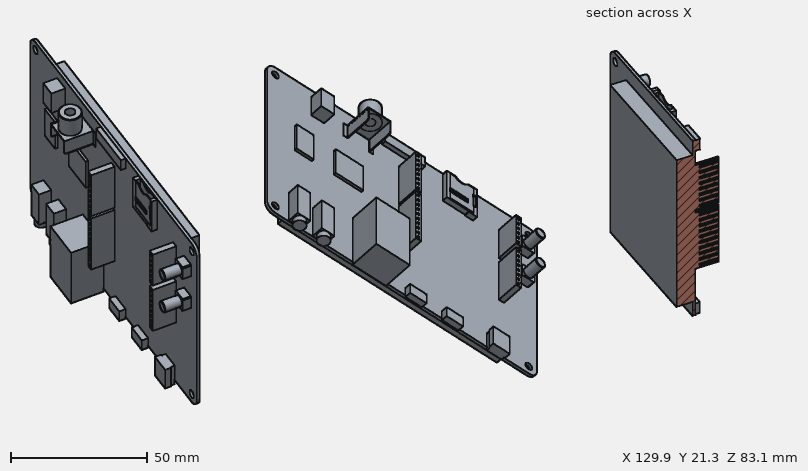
import cadquery as cq


BOARD_WIDTH = 129.95
BOARD_HEIGHT = 79.8
BOARD_THICKNESS = 1.28
CORNER_RADIUS = 4.0
MOUNT_HOLE_DIAMETER = 3.2
MOUNT_HOLE_INSET = 4.0

DISPLAY_WIDTH = 105.5
DISPLAY_HEIGHT = 67.0
DISPLAY_THICKNESS = 6.6
DISPLAY_LEFT = 11.8
DISPLAY_BOTTOM = 6.3

BACK_BLOCK_LEFT = 2.8
BACK_BLOCK_WIDTH = 3.2
BACK_BLOCK_HEIGHT = 4.3
BACK_BLOCK_THICKNESS = 1.2
BACK_BLOCK_BOTTOMS = (27.0, 47.9)

POWER_MODULE = (21.1, 66.1, 6.3, 9.8, 5.8)
MEMORY_CHIP = (13.3, 41.1, 8.2, 13.3, 1.1)
PROCESSOR_CHIP = (32.1, 41.4, 13.3, 13.0, 1.1)
NETWORK_SOCKET = (41.1, -1.6, 16.1, 25.5, 13.46)
FLAT_CABLE_SOCKET = (55.2, 74.7, 19.2, 5.0, 1.95)
MICRO_USB_WIDTH = 7.9
MICRO_USB_HEIGHT = 4.9
MICRO_USB_DEPTH = 2.65
MICRO_USB_BOTTOM = -0.9
MICRO_USB_LEFTS = (66.55, 84.15)

JACK_LEFTS = (10.4, 22.0)
JACK_WIDTH = 6.0
JACK_BOTTOM = 0.35
JACK_HEIGHT = 15.3
JACK_DEPTH = 5.1
JACK_NOSE_DIAMETER = 5.2
JACK_NOSE_LENGTH = 2.65

PIN_PITCH = 2.54
PIN_HOLE_SIZE = 0.8
PIN_HOLE_DEPTH = 8.0
HEADER_WIDTH = 2.45
HEADER_DEPTH = 9.7
HEADER_END_MARGIN = 0.3
LEFT_HEADER_X = 64.6
RIGHT_HEADER_X = 112.75
HEADERS = (
    (LEFT_HEADER_X, 58.1, 8),
    (LEFT_HEADER_X, 33.8, 10),
    (RIGHT_HEADER_X, 60.65, 6),
    (RIGHT_HEADER_X, 40.4, 8),
)

BRACKET_CENTER_X = 43.87
BRACKET_WIDTH = 10.9
BRACKET_DEPTH = 12.0
BRACKET_BOTTOM = 66.1
BRACKET_TOP = 72.8
SHEET_THICKNESS = 0.4
BRACKET_CORNER_RADIUS = 1.0
EAR_SPAN = 14.3
EAR_THICKNESS = 0.1
BARREL_DIAMETER = 8.7
BARREL_BORE = 3.9
BARREL_AXIS_DEPTH = 6.75
BARREL_TOP = 80.78
BARREL_CHAMFER = 0.25

CARD_LEFT = 84.55
CARD_WIDTH = 14.55
CARD_TOP = 79.5
CARD_BOTTOM = 64.9
CARD_DEPTH = 2.3
CARD_STEP_LEFT = 95.2
CARD_STEP_DROP = 0.4
CARD_SLOT_LEFT = 86.3
CARD_SLOT_WIDTH = 11.35
CARD_SLOT_BOTTOM = 66.1
CARD_FLOOR = 0.3
CARD_COVER = 0.3
THUMB_NOTCH_X = 91.85
THUMB_NOTCH_WIDTH = 6.0
THUMB_NOTCH_DEPTH = 1.4
CONTACT_COUNT = 8
CONTACT_PITCH = 1.11
CONTACT_LEFT = 86.22
CONTACT_BOTTOM = 69.6
CONTACT_WIDTH = 0.86
CONTACT_HEIGHT = 1.6
SLIT_LEFT = 97.5
SLIT_RIGHT = 98.65
SLIT_BOTTOM = 69.8
SLIT_TOP = 75.5
SLIT_FOOT_LENGTH = 0.35
SLIT_FOOT_HEIGHT = 0.8

BUTTON_X = 122.75
BUTTON_CENTERS_Z = (49.8, 65.8)
BUTTON_SIZE = 6.0
BUTTON_BASE_DEPTH = 3.45
BUTTON_CORNER_CHAMFER = 0.4
PLUNGER_DIAMETER = 4.5
PLUNGER_DEPTH = 10.55
PLUNGER_CHAMFER = 0.25

MINI_USB_LEFT = 105.3
MINI_USB_BOTTOM = -2.0
MINI_USB_WIDTH = 7.9
MINI_USB_HEIGHT = 9.4
MINI_USB_DEPTH = 4.2
MINI_USB_NECK_INSET = 0.4
MINI_USB_NECK_DEPTH = 1.4
MINI_USB_FULL_DEPTH = 1.8


def block(left, bottom, width, height, depth, start=0.0):
    """Box on the component side, reaching from `start` to `depth` in front of the board."""
    length = depth - start
    return cq.Workplane("XY").box(width, length, height, centered=False).translate((left, -depth, bottom))


def rear_block(left, bottom, width, height, thickness):
    """Box resting on the back of the board."""
    return block(left, bottom, width, height, -BOARD_THICKNESS, -BOARD_THICKNESS - thickness)


def forward_cylinder(x, z, diameter, depth):
    """Cylinder standing on the board's component face."""
    return cq.Workplane("XZ").center(x, z).circle(diameter / 2).extrude(depth)


def upright_cylinder(x, depth, diameter, bottom, top):
    """Cylinder along Z with its axis `depth` in front of the board."""
    return cq.Workplane("XY", origin=(x, -depth, bottom)).circle(diameter / 2).extrude(top - bottom)


def make_board():
    board = block(0, 0, BOARD_WIDTH, BOARD_HEIGHT, 0, -BOARD_THICKNESS).edges("|Y").fillet(CORNER_RADIUS)
    hole_span_x = BOARD_WIDTH - 2 * MOUNT_HOLE_INSET
    hole_span_z = BOARD_HEIGHT - 2 * MOUNT_HOLE_INSET
    return (
        board.faces("<Y")
        .workplane(centerOption="CenterOfBoundBox")
        .rect(hole_span_x, hole_span_z, forConstruction=True)
        .vertices()
        .hole(MOUNT_HOLE_DIAMETER)
    )


def make_audio_jack(left):
    body = block(left, JACK_BOTTOM, JACK_WIDTH, JACK_HEIGHT, JACK_DEPTH)
    nose_bottom = JACK_BOTTOM - JACK_NOSE_LENGTH
    nose = upright_cylinder(
        left + JACK_WIDTH / 2, JACK_DEPTH / 2, JACK_NOSE_DIAMETER, nose_bottom, JACK_BOTTOM
    )
    return body.union(nose)


def make_header(center_x, center_z, pins):
    height = pins * PIN_PITCH + HEADER_END_MARGIN
    header = block(center_x - HEADER_WIDTH / 2, center_z - height / 2, HEADER_WIDTH, height, HEADER_DEPTH)
    return (
        header.faces("<Y")
        .workplane(centerOption="CenterOfBoundBox")
        .rarray(PIN_PITCH, PIN_PITCH, 1, pins)
        .rect(PIN_HOLE_SIZE, PIN_HOLE_SIZE)
        .cutBlind(-PIN_HOLE_DEPTH)
    )


def make_coax_socket():
    left = BRACKET_CENTER_X - BRACKET_WIDTH / 2
    height = BRACKET_TOP - BRACKET_BOTTOM
    inner_width = BRACKET_WIDTH - 2 * SHEET_THICKNESS
    bracket = block(left, BRACKET_BOTTOM, BRACKET_WIDTH, height, BRACKET_DEPTH)
    bracket = bracket.edges("|X and <Y and <Z").fillet(BRACKET_CORNER_RADIUS)
    opening = block(
        left + SHEET_THICKNESS, BRACKET_BOTTOM, inner_width, height - SHEET_THICKNESS, BRACKET_DEPTH
    )
    bracket = bracket.cut(opening)

    ear_width = (EAR_SPAN - BRACKET_WIDTH) / 2
    for ear_left in (left - ear_width, left + BRACKET_WIDTH):
        bracket = bracket.union(block(ear_left, BRACKET_BOTTOM, ear_width, height, EAR_THICKNESS))

    barrel = upright_cylinder(
        BRACKET_CENTER_X, BARREL_AXIS_DEPTH, BARREL_DIAMETER, BRACKET_TOP, BARREL_TOP
    )
    barrel = barrel.faces(">Z").edges().chamfer(BARREL_CHAMFER)
    bore = upright_cylinder(BRACKET_CENTER_X, BARREL_AXIS_DEPTH, BARREL_BORE, BRACKET_TOP, BARREL_TOP)
    return bracket.union(barrel.cut(bore))


def make_card_socket():
    height = CARD_TOP - CARD_BOTTOM
    socket = block(CARD_LEFT, CARD_BOTTOM, CARD_WIDTH, height, CARD_DEPTH)
    step_width = CARD_LEFT + CARD_WIDTH - CARD_STEP_LEFT
    socket = socket.union(
        block(CARD_STEP_LEFT, CARD_BOTTOM - CARD_STEP_DROP, step_width, height, CARD_DEPTH)
    )

    cover_inside = CARD_DEPTH - CARD_COVER
    slot_height = CARD_TOP - CARD_SLOT_BOTTOM
    socket = socket.cut(
        block(CARD_SLOT_LEFT, CARD_SLOT_BOTTOM, CARD_SLOT_WIDTH, slot_height, cover_inside, CARD_FLOOR)
    )

    notch = (
        cq.Workplane("XZ", origin=(THUMB_NOTCH_X, 0, CARD_TOP))
        .moveTo(-THUMB_NOTCH_WIDTH / 2, 0)
        .threePointArc((0, -THUMB_NOTCH_DEPTH), (THUMB_NOTCH_WIDTH / 2, 0))
        .close()
        .extrude(CARD_DEPTH)
    )
    socket = socket.cut(notch)

    for index in range(CONTACT_COUNT):
        window_left = CONTACT_LEFT + index * CONTACT_PITCH
        socket = socket.cut(
            block(window_left, CONTACT_BOTTOM, CONTACT_WIDTH, CONTACT_HEIGHT, CARD_DEPTH, cover_inside)
        )

    slit = block(
        SLIT_LEFT, SLIT_BOTTOM, SLIT_RIGHT - SLIT_LEFT, SLIT_TOP - SLIT_BOTTOM, CARD_DEPTH, cover_inside
    )
    foot = block(
        SLIT_LEFT - SLIT_FOOT_LENGTH,
        SLIT_TOP - SLIT_FOOT_HEIGHT,
        SLIT_FOOT_LENGTH,
        SLIT_FOOT_HEIGHT,
        CARD_DEPTH,
        cover_inside,
    )
    return socket.cut(slit).cut(foot)


def make_button(center_z):
    half = BUTTON_SIZE / 2
    base = block(BUTTON_X - half, center_z - half, BUTTON_SIZE, BUTTON_SIZE, BUTTON_BASE_DEPTH)
    base = base.edges("|Y").chamfer(BUTTON_CORNER_CHAMFER)
    plunger = forward_cylinder(BUTTON_X, center_z, PLUNGER_DIAMETER, PLUNGER_DEPTH)
    plunger = plunger.faces("<Y").edges().chamfer(PLUNGER_CHAMFER)
    return base.union(plunger)


def make_mini_usb():
    half = MINI_USB_WIDTH / 2
    neck_half = half - MINI_USB_NECK_INSET
    profile = [
        (-neck_half, 0),
        (-neck_half, -MINI_USB_NECK_DEPTH),
        (-half, -MINI_USB_FULL_DEPTH),
        (-half, -MINI_USB_DEPTH),
        (half, -MINI_USB_DEPTH),
        (half, -MINI_USB_FULL_DEPTH),
        (neck_half, -MINI_USB_NECK_DEPTH),
        (neck_half, 0),
    ]
    return (
        cq.Workplane("XY", origin=(MINI_USB_LEFT + half, 0, MINI_USB_BOTTOM))
        .polyline(profile)
        .close()
        .extrude(MINI_USB_HEIGHT)
    )


components = [rear_block(DISPLAY_LEFT, DISPLAY_BOTTOM, DISPLAY_WIDTH, DISPLAY_HEIGHT, DISPLAY_THICKNESS)]
for bottom in BACK_BLOCK_BOTTOMS:
    components.append(
        rear_block(BACK_BLOCK_LEFT, bottom, BACK_BLOCK_WIDTH, BACK_BLOCK_HEIGHT, BACK_BLOCK_THICKNESS)
    )
for box_sizes in (POWER_MODULE, MEMORY_CHIP, PROCESSOR_CHIP, NETWORK_SOCKET, FLAT_CABLE_SOCKET):
    components.append(block(*box_sizes))
for left in MICRO_USB_LEFTS:
    components.append(block(left, MICRO_USB_BOTTOM, MICRO_USB_WIDTH, MICRO_USB_HEIGHT, MICRO_USB_DEPTH))
for left in JACK_LEFTS:
    components.append(make_audio_jack(left))
for center_x, center_z, pins in HEADERS:
    components.append(make_header(center_x, center_z, pins))
for center_z in BUTTON_CENTERS_Z:
    components.append(make_button(center_z))
components.append(make_coax_socket())
components.append(make_card_socket())
components.append(make_mini_usb())

result = make_board()
for component in components:
    result = result.union(component)